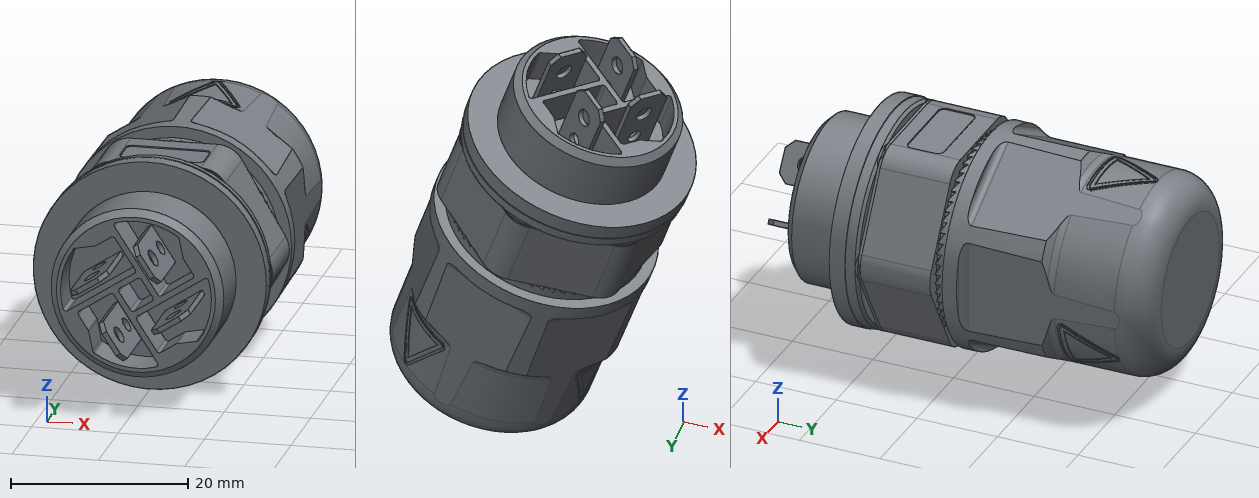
import cadquery as cq
import math

TOTAL_LENGTH = 49.6

COLLAR_FACE = 3.9
COLLAR_DIAMETER = 20.0
COLLAR_CHAMFER = 0.8
INSERT_ANGLE = 33.0
CONTACT_COUNT = 4

CHAMBER_DEPTH = 4.35
CHAMBER_RADIUS = 8.75
CHAMBER_NEAR_SIDE = 2.25
CHAMBER_FAR_SIDE = 7.15
CHAMBER_END = 1.55
CHAMBER_CORNER = 0.35
BULGE_START = -0.95
BULGE_END = -3.15
BULGE_TOP = 8.05

BLADE_WIDTH = 5.05
BLADE_THICKNESS = 0.6
BLADE_ALONG = -2.9
BLADE_OFFSET = 4.2
BLADE_CHAMFER = 1.05
BLADE_HOLE_DIAMETER = 2.0
BLADE_HOLE_Y = 2.95
ROOT_HOLE_DIAMETER = 1.7
ROOT_HOLE_Y = 6.7
BLADE_SEAT = 0.5

FLANGE_BOTTOM = 10.95
FLANGE_TOP = 12.9
FLANGE_DIAMETER = 27.0
RING_TOP = 14.45
RING_BOTTOM_DIAMETER = 26.8
RING_TOP_DIAMETER = 26.7
RING_CHAMFER = 0.35
HEX_TOP = 23.35
HEX_ACROSS_FLATS = 23.95
HEX_CORNER_FILLET = 3.25
SKIRT_HEIGHT = 0.3
SKIRT_FLARE = 20.0

PLATE_LENGTH = 9.7
PLATE_WIDTH = 4.45
PLATE_CORNER = 0.75
PLATE_DEPTH = 0.15
PLATE_Y = 18.7

NECK_DIAMETER = 23.8
TOOTH_COUNT = 60
TOOTH_HEIGHT = 0.6
TOOTH_DEPTH = 0.4
TOOTH_SPAN = 0.9

CAP_BOTTOM = 24.85
CAP_RIM_RADIUS = 13.25
CAP_SHOULDER = 36.6
CAP_SHOULDER_RADIUS = 13.1
CAP_WAIST = 38.15
CAP_WAIST_RADIUS = 12.0
CAP_DOME_START = 45.6
CAP_DOME_START_RADIUS = 11.95
WAIST_FILLET_LENGTH = 0.8
FLAT_COUNT = 6
CAP_ACROSS_FLATS = 23.8
FLAT_FILLET = 0.85
FLAT_END = 26.65

SIGN_COUNT = 3
SIGN_CENTRE_Y = 40.95
SIGN_INRADIUS = 2.6
SIGN_BAND = 0.3
SIGN_BORDER = 0.8
SIGN_CORNER = 0.6
SIGN_DEPTH = 0.15

HEX_APOTHEM = HEX_ACROSS_FLATS / 2
NECK_RADIUS = NECK_DIAMETER / 2
CAP_APOTHEM = CAP_ACROSS_FLATS / 2
COLLAR_RADIUS = COLLAR_DIAMETER / 2
FLANGE_RADIUS = FLANGE_DIAMETER / 2
CUT_MARGIN = 2.5


def plane_at(y):
    """Cross-section plane at height y, seen with X right, Z up and its normal toward -Y."""
    return cq.Workplane("XZ", origin=(0, y, 0))


def turned(shape, angle):
    """Turn a shape about the part's axis, counter-clockwise as seen from -Y."""
    return shape.rotate((0, 0, 0), (0, -1, 0), angle)


def make_base():
    """Collar, flange and tapered ring in one revolved profile."""
    ring_top_radius = RING_TOP_DIAMETER / 2
    return (
        cq.Workplane("XY")
        .moveTo(0, COLLAR_FACE)
        .lineTo(COLLAR_RADIUS - COLLAR_CHAMFER, COLLAR_FACE)
        .lineTo(COLLAR_RADIUS, COLLAR_FACE + COLLAR_CHAMFER)
        .lineTo(COLLAR_RADIUS, FLANGE_BOTTOM)
        .lineTo(FLANGE_RADIUS, FLANGE_BOTTOM)
        .lineTo(FLANGE_RADIUS, FLANGE_TOP)
        .lineTo(RING_BOTTOM_DIAMETER / 2, FLANGE_TOP)
        .lineTo(ring_top_radius, RING_TOP - RING_CHAMFER)
        .lineTo(ring_top_radius - RING_CHAMFER, RING_TOP)
        .lineTo(0, RING_TOP)
        .close()
        .revolve(360, (0, 0, 0), (0, 1, 0))
    )


def hexagon_prism(y_top, y_bottom, taper=0):
    """Round-cornered hexagon with a flat facing +Z, widening downward for a negative taper."""
    outline = cq.Sketch().regularPolygon(HEX_APOTHEM / math.cos(math.pi / 6), 6, angle=30)
    outline = outline.vertices().fillet(HEX_CORNER_FILLET)
    return plane_at(y_top).placeSketch(outline).extrude(y_top - y_bottom, taper=taper)


def make_hex_body():
    """Hexagonal body with a flared skirt where it meets the ring, and a sunken marking plate."""
    body = hexagon_prism(HEX_TOP, FLANGE_TOP)
    skirt = hexagon_prism(RING_TOP + SKIRT_HEIGHT, RING_TOP, taper=-SKIRT_FLARE)
    ring_limit = plane_at(HEX_TOP).circle(RING_TOP_DIAMETER / 2).extrude(HEX_TOP)
    plate = (
        cq.Workplane("XY", origin=(0, PLATE_Y, HEX_APOTHEM - PLATE_DEPTH))
        .rect(PLATE_LENGTH, PLATE_WIDTH)
        .extrude(CUT_MARGIN)
        .edges("|Z")
        .fillet(PLATE_CORNER)
    )
    return body.union(skirt.intersect(ring_limit)).cut(plate)


def make_neck():
    """Round neck between body and cap, ending in saw-toothed ratchet notches."""
    neck = plane_at(CAP_BOTTOM).circle(NECK_RADIUS).extrude(CAP_BOTTOM - HEX_TOP)
    pitch = 2 * math.pi * NECK_RADIUS / TOOTH_COUNT
    notch = (
        cq.Workplane("XY", origin=(0, HEX_TOP, NECK_RADIUS - TOOTH_DEPTH))
        .polyline([(0, 0), (0, TOOTH_HEIGHT), (TOOTH_SPAN * pitch, 0)])
        .close()
        .extrude(CUT_MARGIN)
    )
    notches = [turned(notch, 360 * (i + 0.5) / TOOTH_COUNT).val() for i in range(TOOTH_COUNT)]
    return neck.cut(cq.Workplane(cq.Compound.makeCompound(notches)))


def make_cap_blank():
    """Turned cap: rim, drafted grip, 45 degree shoulder with a concave fillet, waist and dome."""
    dome_radius = TOTAL_LENGTH - CAP_DOME_START
    fillet_radius = WAIST_FILLET_LENGTH / math.sin(math.pi / 4)
    fillet_centre_radius = CAP_WAIST_RADIUS + fillet_radius
    fillet_mid_angle = math.pi / 8
    fillet_mid = (
        fillet_centre_radius - fillet_radius * math.cos(fillet_mid_angle),
        CAP_WAIST - fillet_radius * math.sin(fillet_mid_angle),
    )
    fillet_end = (
        fillet_centre_radius - fillet_radius * math.cos(math.pi / 4),
        CAP_WAIST - WAIST_FILLET_LENGTH,
    )
    dome_mid = (
        CAP_DOME_START_RADIUS - dome_radius * (1 - math.cos(math.pi / 4)),
        CAP_DOME_START + dome_radius * math.sin(math.pi / 4),
    )
    return (
        cq.Workplane("XY")
        .moveTo(0, CAP_BOTTOM)
        .lineTo(CAP_RIM_RADIUS, CAP_BOTTOM)
        .lineTo(CAP_SHOULDER_RADIUS, CAP_SHOULDER)
        .lineTo(*fillet_end)
        .threePointArc(fillet_mid, (CAP_WAIST_RADIUS, CAP_WAIST))
        .lineTo(CAP_DOME_START_RADIUS, CAP_DOME_START)
        .threePointArc(dome_mid, (CAP_DOME_START_RADIUS - dome_radius, TOTAL_LENGTH))
        .lineTo(0, TOTAL_LENGTH)
        .close()
        .revolve(360, (0, 0, 0), (0, 1, 0))
    )


def make_flat_cutter():
    """Side cutter for the +X wrench flat, with a concave fillet running out to the rim."""
    length = 2 * CAP_RIM_RADIUS
    bend = FLAT_FILLET * (1 - math.cos(math.pi / 4))
    outside = CAP_RIM_RADIUS + CUT_MARGIN
    return (
        cq.Workplane("XY", origin=(0, 0, -length / 2))
        .moveTo(CAP_APOTHEM, TOTAL_LENGTH)
        .lineTo(CAP_APOTHEM, FLAT_END + FLAT_FILLET)
        .threePointArc(
            (CAP_APOTHEM + bend, FLAT_END + bend),
            (CAP_APOTHEM + FLAT_FILLET, FLAT_END),
        )
        .lineTo(outside, FLAT_END)
        .lineTo(outside, TOTAL_LENGTH)
        .close()
        .extrude(length)
    )


def sign_triangle(inset, corner):
    """Upright triangular prism facing +Z, its sides moved in by inset from the sign's outline."""
    inradius = SIGN_INRADIUS - inset
    half_base = inradius * math.sqrt(3)
    triangle = (
        cq.Workplane("XY", origin=(0, SIGN_CENTRE_Y, 0))
        .polyline([(-half_base, -inradius), (half_base, -inradius), (0, 2 * inradius)])
        .close()
        .extrude(CAP_RIM_RADIUS + CUT_MARGIN)
    )
    return triangle.edges("|Z").fillet(corner) if corner else triangle


def make_sign_cutter():
    """Groove around the sign's edge and a sunken triangle inside its raised border."""
    outline = sign_triangle(0, SIGN_CORNER)
    border = sign_triangle(SIGN_BAND, SIGN_CORNER - SIGN_BAND)
    field = sign_triangle(SIGN_BORDER, 0)
    core = plane_at(TOTAL_LENGTH).circle(CAP_WAIST_RADIUS - SIGN_DEPTH).extrude(TOTAL_LENGTH)
    return outline.cut(border).union(field).cut(core)


def make_cap():
    """Screw cap with six wrench flats and a warning frame on every other rib between them."""
    cap = make_cap_blank()
    flat_cutter = make_flat_cutter()
    for i in range(FLAT_COUNT):
        cap = cap.cut(turned(flat_cutter, 360 * i / FLAT_COUNT))
    sign_cutter = make_sign_cutter()
    for i in range(SIGN_COUNT):
        cap = cap.cut(turned(sign_cutter, 360 * i / SIGN_COUNT))
    return cap


def make_chamber():
    """One contact chamber, bounded outside by the collar wall and bulging beside its flat top."""
    outline = [
        (CHAMBER_END, CHAMBER_NEAR_SIDE),
        (CHAMBER_END, CHAMBER_FAR_SIDE),
        (BULGE_START, CHAMBER_FAR_SIDE),
        (BULGE_END, BULGE_TOP),
        (-CHAMBER_RADIUS, BULGE_TOP),
        (-CHAMBER_RADIUS, CHAMBER_NEAR_SIDE),
    ]
    floor = plane_at(COLLAR_FACE + CHAMBER_DEPTH)
    bore = floor.circle(CHAMBER_RADIUS).extrude(CHAMBER_DEPTH)
    chamber = floor.polyline(outline).close().extrude(CHAMBER_DEPTH).intersect(bore)
    return chamber.edges("|Y").fillet(CHAMBER_CORNER)


def make_blade():
    """Flat contact blade with chamfered tip corners and cross holes near its tip and root."""
    root = COLLAR_FACE + CHAMBER_DEPTH + BLADE_SEAT
    blade = (
        plane_at(root)
        .center(BLADE_ALONG, BLADE_OFFSET)
        .rect(BLADE_WIDTH, BLADE_THICKNESS)
        .extrude(root)
        .faces("<Y")
        .edges("|Z")
        .chamfer(BLADE_CHAMFER)
    )
    for y, diameter in ((BLADE_HOLE_Y, BLADE_HOLE_DIAMETER), (ROOT_HOLE_Y, ROOT_HOLE_DIAMETER)):
        hole = (
            cq.Workplane("XY", origin=(BLADE_ALONG, y, BLADE_OFFSET))
            .circle(diameter / 2)
            .extrude(BLADE_THICKNESS, both=True)
        )
        blade = blade.cut(hole)
    return blade


def add_contacts(part):
    """Sink the centre well and the chambers into the collar face, then stand the blades in them."""
    well = (
        plane_at(COLLAR_FACE + CHAMBER_DEPTH)
        .rect(2 * CHAMBER_END, 2 * CHAMBER_END)
        .extrude(CHAMBER_DEPTH)
        .edges("|Y")
        .fillet(CHAMBER_CORNER)
    )
    part = part.cut(turned(well, INSERT_ANGLE))
    chamber = make_chamber()
    blade = make_blade()
    for i in range(CONTACT_COUNT):
        angle = INSERT_ANGLE + 360 * i / CONTACT_COUNT
        part = part.cut(turned(chamber, angle)).union(turned(blade, angle))
    return part


body = make_base().union(make_hex_body()).union(make_neck()).union(make_cap())
result = add_contacts(body)